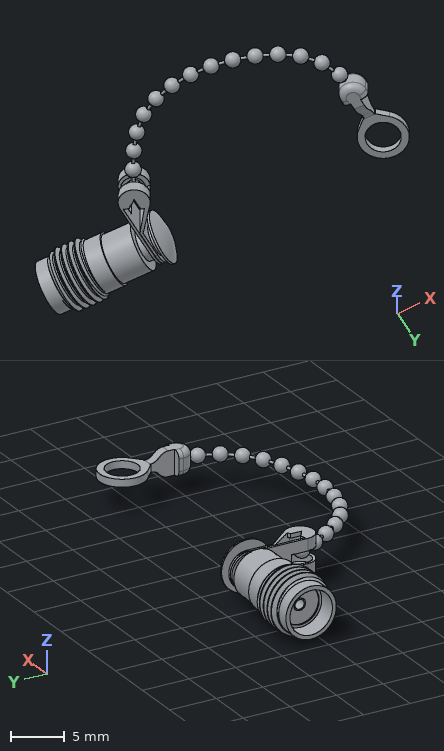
import cadquery as cq
import math


barrel_radius = 5.45 / 2
barrel_end = 6.88
shank_radius = 2.5
shank_end = 9.95
stem_radius = 3.15 / 2
head_radius = 5.45 / 2
head_start = 11.85
head_rim = 0.23
head_dome = 0.65
bore_radius = 2.28
bore_depth = 1.98
recess_radius = 2.0
recess_depth = 0.15

thread_pitch = 3.55 / 5
thread_radius = 6.35 / 2
thread_start = 1.33
thread_end = 5.1
thread_taper = 0.55
thread_root_width = 0.6
thread_crest_width = 0.1
thread_root_sink = 0.08
first_crest = 1.95

contact_radius = 1.25 / 2
contact_bore_radius = 0.5
contact_length = 3.05
contact_bore_depth = 2.28

clip_half_height = 1.95
strip_thickness = 0.25
leg_gap = 0.05
left_leg_x = 10.7
right_leg_x = left_leg_x + 2 * strip_thickness + leg_gap
leg_top = 2.28
bend_y = -2.47
inner_bend_drop = 0.1
eye_radius = 3.0 / 2
eye_wall = 0.38
eye_y = -5.9
slot_half_height = 0.65
left_slot_top = -4.15
right_slot_top = -5.35
plate_thickness = 0.45
plate_left_y = -5.8
plate_peak = (11.5, -5.55)
plate_edge_slope = 0.5
notch_top_y = -5.0

bead_count = 15
bead_radius = 1.55 / 2
link_radius = 0.17
first_bead = (12.4, -6.2)
last_bead = (35.3, -8.35)
chain_guides = [first_bead, (14.4, -9.95), (17.17, -13.1), (23.25, -15.0), (29.48, -13.98), (33.13, -11.95), last_bead]

ring_radius = 2.45
ring_hole_radius = 1.67
ring_half_thickness = 0.4
ring_center = (38.0 - ring_radius, -0.4)
neck_half_width = 0.65
neck_end_y = -3.1
strap_half_width = 0.55
strap_top_y = -5.05
anchor_radius = 1.33
anchor_half_height = 1.33
anchor_fillet = 0.7
anchor_y = -6.23
anchor_back_y = -5.75


def cylinder(radius, start, end):
    """A cylinder on the cap axis between two X positions."""
    return cq.Workplane("YZ", origin=(start, 0, 0)).circle(radius).extrude(end - start)


def block(x_range, y_range, half_height):
    """A box between X and Y limits, centred on Z = 0."""
    (x0, x1), (y0, y1) = x_range, y_range
    center = ((x0 + x1) / 2, (y0 + y1) / 2, 0)
    return cq.Workplane("XY", origin=center).box(x1 - x0, y1 - y0, 2 * half_height)


def make_thread():
    """Helical ridge, trimmed by a double cone whose ends taper down to the barrel."""
    helix_start = first_crest - 2 * thread_pitch
    helix_length = thread_end - helix_start + thread_pitch
    root_radius = barrel_radius - thread_root_sink
    helix = cq.Wire.makeHelix(thread_pitch, helix_length, barrel_radius)
    half_root = thread_root_width / 2
    half_crest = thread_crest_width / 2
    ridge = (
        cq.Workplane("XZ")
        .polyline([
            (root_radius, -half_root),
            (thread_radius, -half_crest),
            (thread_radius, half_crest),
            (root_radius, half_root),
        ])
        .close()
        .sweep(cq.Workplane(obj=helix), isFrenet=True)
    )
    ridge = ridge.rotate((0, 0, 0), (1, 1, 1), 120).translate((helix_start, 0, 0))
    taper_slope = (thread_radius - barrel_radius) / thread_taper
    sleeve_peak = barrel_radius + taper_slope * (thread_end - thread_start) / 2
    sleeve = (
        cq.Workplane("XY")
        .polyline([
            (thread_start, 0),
            (thread_start, barrel_radius),
            ((thread_start + thread_end) / 2, sleeve_peak),
            (thread_end, barrel_radius),
            (thread_end, 0),
        ])
        .close()
        .revolve(360, (0, 0, 0), (1, 0, 0))
    )
    return ridge.intersect(sleeve)


def make_head():
    """Disc with a thin straight rim and a domed outer face."""
    rim_end = head_start + head_rim
    dome_top = rim_end + head_dome
    dome_radius = (head_radius**2 + head_dome**2) / (2 * head_dome)
    half_angle = math.asin(head_radius / dome_radius) / 2
    dome_middle = (
        dome_top - dome_radius * (1 - math.cos(half_angle)),
        dome_radius * math.sin(half_angle),
    )
    return (
        cq.Workplane("XY")
        .moveTo(head_start, 0)
        .lineTo(head_start, head_radius)
        .lineTo(rim_end, head_radius)
        .threePointArc(dome_middle, (dome_top, 0))
        .close()
        .revolve(360, (0, 0, 0), (1, 0, 0))
    )


def make_cap():
    """One solid from the threaded barrel to the head, bored from its mouth."""
    floor = bore_depth + recess_depth
    return (
        cylinder(barrel_radius, 0, barrel_end)
        .union(cylinder(shank_radius, barrel_end, shank_end))
        .union(cylinder(stem_radius, shank_end, head_start))
        .union(make_head())
        .union(make_thread())
        .cut(cylinder(bore_radius, 0, bore_depth))
        .cut(cylinder(recess_radius, bore_depth, floor))
        .cut(cylinder(contact_radius, floor, floor + contact_length))
    )


def make_contact():
    """Socket with a blind bore, flush with the cap floor."""
    face = bore_depth + recess_depth
    return cylinder(contact_radius, face, face + contact_length).cut(
        cylinder(contact_bore_radius, face, face + contact_bore_depth)
    )


def make_loop(left, right, loop_bend_y, radius):
    """Solid clip loop: two straight legs, and a slanted leg tangent to a round eye at its foot."""
    eye_x = left + radius
    to_eye = math.atan2(eye_y - loop_bend_y, eye_x - right)
    bend_distance = math.hypot(eye_y - loop_bend_y, eye_x - right)
    slant = to_eye + math.asin(radius / bend_distance)
    touch_angle = slant + math.pi / 2
    touch = (eye_x + radius * math.cos(touch_angle), eye_y + radius * math.sin(touch_angle))
    return (
        cq.Workplane("XY")
        .workplane(offset=-clip_half_height)
        .moveTo(left, leg_top)
        .lineTo(left, eye_y)
        .threePointArc((eye_x, eye_y - radius), touch)
        .lineTo(right, loop_bend_y)
        .lineTo(right, leg_top)
        .close()
        .extrude(2 * clip_half_height)
    )


def make_eye_plates(inner_loop):
    """Plates closing the eye above and below, with a notch whose tip is at the first bead."""
    tip_x, tip_y = first_bead
    right = left_leg_x + 2 * eye_radius
    right_end_y = notch_top_y + plate_edge_slope * (right - tip_x)
    bottom = eye_y - eye_radius
    region = (
        cq.Workplane("XY")
        .workplane(offset=-clip_half_height)
        .polyline([
            (left_leg_x, bottom),
            (left_leg_x, plate_left_y),
            plate_peak,
            (tip_x, tip_y),
            (tip_x, notch_top_y),
            (right, right_end_y),
            (right, bottom),
        ])
        .close()
        .extrude(2 * clip_half_height)
    )
    gap = block((left_leg_x, right), (bottom, right_end_y), clip_half_height - plate_thickness)
    return region.intersect(inner_loop).cut(gap)


def make_clip():
    """Folded strip with rounded leg tops, a stem hole and a slotted eye."""
    eye_x = left_leg_x + eye_radius
    strip = make_loop(left_leg_x, right_leg_x, bend_y, eye_radius)
    inner_loop = make_loop(
        left_leg_x + strip_thickness,
        right_leg_x - strip_thickness,
        bend_y - inner_bend_drop,
        eye_radius - eye_wall,
    )

    round_y = leg_top - clip_half_height
    eye_bottom = eye_y - eye_radius
    side_profile = (
        cq.Workplane("YZ", origin=(left_leg_x, 0, 0))
        .moveTo(eye_bottom, -clip_half_height)
        .lineTo(round_y, -clip_half_height)
        .threePointArc((leg_top, 0), (round_y, clip_half_height))
        .lineTo(eye_bottom, clip_half_height)
        .close()
        .extrude(2 * eye_radius)
    )

    left_slot = block((left_leg_x, eye_x), (eye_bottom, left_slot_top), slot_half_height)
    right_slot = block((eye_x, eye_x + eye_radius), (eye_bottom, right_slot_top), slot_half_height)
    stem_hole = cylinder(stem_radius, left_leg_x, right_leg_x)
    return (
        strip.cut(inner_loop)
        .union(make_eye_plates(inner_loop))
        .intersect(side_profile)
        .cut(left_slot)
        .cut(right_slot)
        .cut(stem_hole)
    )


def make_end_ring():
    """Flat ring with a neck, a strap and a rounded anchor as one solid."""
    ring_x, ring_y = ring_center
    ring = (
        cq.Workplane("XY", origin=(ring_x, ring_y, -ring_half_thickness))
        .circle(ring_radius)
        .extrude(2 * ring_half_thickness)
    )

    neck_length = ring_y - neck_end_y
    corner_distance = math.hypot(neck_half_width, neck_length)
    touch_angle = math.atan2(neck_length, neck_half_width) - math.acos(ring_radius / corner_distance)
    touch_x = ring_radius * math.cos(touch_angle)
    touch_y = ring_y - ring_radius * math.sin(touch_angle)
    neck = (
        cq.Workplane("XY")
        .workplane(offset=-ring_half_thickness)
        .polyline([
            (ring_x - touch_x, touch_y),
            (ring_x - neck_half_width, neck_end_y),
            (ring_x + neck_half_width, neck_end_y),
            (ring_x + touch_x, touch_y),
        ])
        .close()
        .extrude(2 * ring_half_thickness)
    )
    hole = (
        cq.Workplane("XY", origin=(ring_x, ring_y, -ring_half_thickness))
        .circle(ring_hole_radius)
        .extrude(2 * ring_half_thickness)
    )

    level = (-1, 0)
    strap = (
        cq.Workplane("YZ", origin=(ring_x - strap_half_width, 0, 0))
        .moveTo(neck_end_y, -ring_half_thickness)
        .lineTo(neck_end_y, ring_half_thickness)
        .spline([(strap_top_y, anchor_half_height)], tangents=[level, level], includeCurrent=True)
        .lineTo(anchor_y, anchor_half_height)
        .lineTo(anchor_y, -anchor_half_height)
        .lineTo(strap_top_y, -anchor_half_height)
        .spline(
            [(neck_end_y, -ring_half_thickness)],
            tangents=[(1, 0), (1, 0)],
            includeCurrent=True,
        )
        .close()
        .extrude(2 * strap_half_width)
    )

    anchor = (
        cq.Workplane("XY")
        .workplane(offset=-anchor_half_height)
        .moveTo(ring_x - anchor_radius, anchor_back_y)
        .lineTo(ring_x - anchor_radius, anchor_y)
        .threePointArc((ring_x, anchor_y - anchor_radius), (ring_x + anchor_radius, anchor_y))
        .lineTo(ring_x + anchor_radius, anchor_back_y)
        .close()
        .extrude(2 * anchor_half_height)
        .faces("|Z")
        .edges("not >Y")
        .fillet(anchor_fillet)
    )
    return ring.union(neck).cut(hole).union(strap).union(anchor)


def make_link(start, end):
    """A straight rod between two points."""
    direction = end - start
    return cq.Workplane(obj=cq.Solid.makeCylinder(link_radius, direction.Length, start, direction))


def make_chain(end_ring):
    """Evenly spaced beads joined by rods; the last rod butts against the end ring's anchor."""
    path = cq.Edge.makeSpline([cq.Vector(x, y, 0) for x, y in chain_guides])
    centers = [path.positionAt(i / (bead_count - 1)) for i in range(bead_count)]
    anchor_point = cq.Vector(ring_center[0], anchor_y, 0)
    chain = make_link(centers[-1], anchor_point).cut(end_ring)
    for start, end in zip(centers, centers[1:]):
        chain = chain.union(make_link(start, end))
    for center in centers:
        chain = chain.union(cq.Workplane("XY").sphere(bead_radius).translate(center))
    return chain


cap = make_cap()
contact = make_contact()
clip = make_clip()
end_ring = make_end_ring()
chain = make_chain(end_ring)

result = cq.Compound.makeCompound([
    cap.val(),
    contact.val(),
    clip.val(),
    chain.val(),
    end_ring.val(),
])